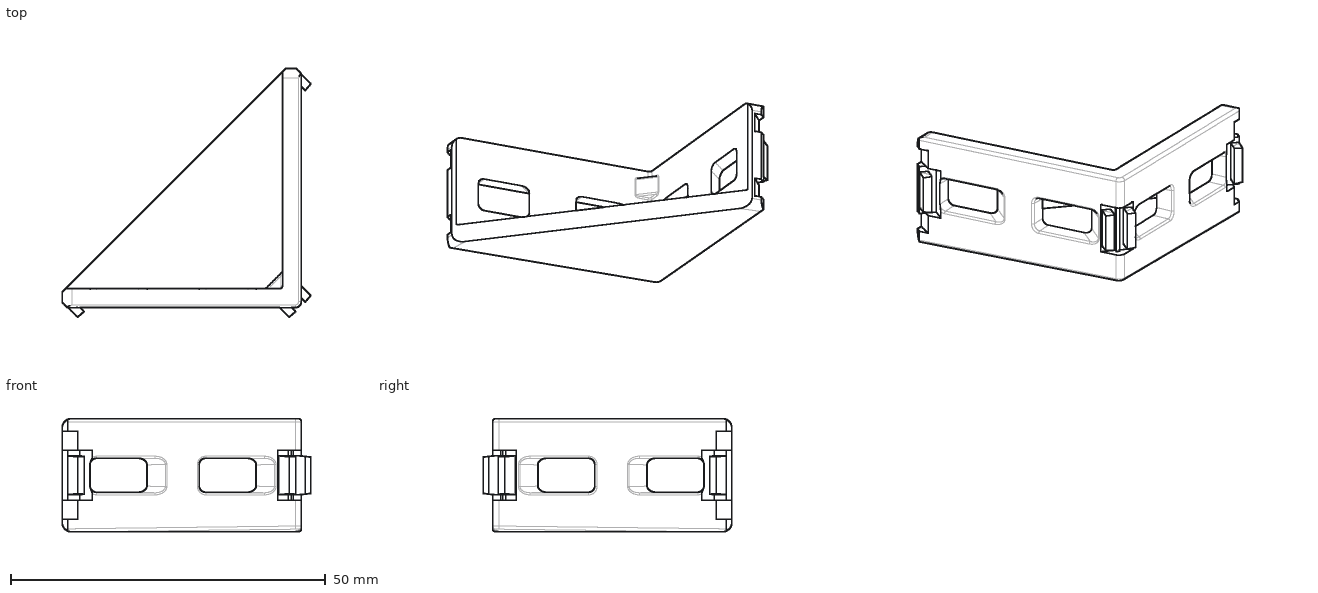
import cadquery as cq
import math


leg_length = 38.0
height = 18.0
wall = 3.0
floor_thickness = 3.0
end_land = 2.5
draft_angle = 1.0
corner_radius = 1.0
edge_radius = 0.5
end_radius = 1.5
end_chamfer = 0.87
inner_corner_radius = 0.5
floor_fillet = 0.25

slot_length = 9.0
slot_height = 5.3
slot_starts = (4.45, 21.78)
slot_corner_radius = 1.0
slot_edge_fillet = 0.33

recess_height = 8.0
end_recess_length = 4.8
corner_recess_length = 3.8
tab_reach = 1.5
tab_span = 1.95
tip_step_reach = 0.6
tab_root_height = 6.15
tab_tip_height = 5.8
end_tab_inset = 0.1
tab_embed = 0.4
corner_tab_gap = 1.5
rib_span = 0.76
rib_setback = 2.92
end_bevel_length = 2.5
end_bevel_depth = 2.05
end_bevel_height = 3.0

gusset_leg = 2.72
gusset_height = 3.03
gusset_bottom = 13.45
gusset_fillet = 0.25

mid_height = height / 2
overlap = 1.0
diagonal = (1, 1, 0)
hypotenuse_offset = leg_length + end_land
draft_slope = math.tan(math.radians(draft_angle))


def mirrored(solid):
    """Copy of a solid on the other leg."""
    return solid.mirror(diagonal)


def prism(points, bottom, top):
    """Vertical prism over a plan outline."""
    return cq.Workplane("XY").workplane(offset=bottom).polyline(points).close().extrude(top - bottom)


def drafted_slab(base_height):
    """Solid below a plane that sits at base_height on the hypotenuse and rises to the corner."""
    run = hypotenuse_offset * math.sqrt(2)
    rise = run * draft_slope
    hypotenuse_mid = (-hypotenuse_offset / 2, hypotenuse_offset / 2, base_height)
    section_plane = cq.Plane(origin=hypotenuse_mid, xDir=(1, -1, 0), normal=(-1, -1, 0))
    section = [(-run, -height), (-run, -rise), (run, rise), (run, -height)]
    return cq.Workplane(section_plane).polyline(section).close().extrude(2 * leg_length, both=True)


def side_band(stations):
    """Bar along X, symmetric about mid height; stations are (y, half height) pairs."""
    lower = [(y, mid_height - half) for y, half in stations]
    upper = [(y, mid_height + half) for y, half in reversed(stations)]
    return cq.Workplane("YZ").polyline(lower + upper).close().extrude(2 * leg_length, both=True)


def nearest(x, y, z):
    """Selector for the item nearest a point."""
    return cq.selectors.NearestToPointSelector((x, y, z))


def outer_block():
    """Triangular block with tilted underside, rounded outer edges and rounded leg ends."""
    long_leg = 2 * leg_length
    block = prism([(-long_leg, 0), (0, 0), (0, long_leg)], -height, height).cut(drafted_slab(0))
    block = block.edges(nearest(0, 0, mid_height)).fillet(corner_radius)
    block = block.edges(nearest(-leg_length, 0, height)).fillet(edge_radius)
    block = block.edges(nearest(-leg_length, 0, 0)).fillet(edge_radius)
    envelope = (
        cq.Workplane("XY")
        .box(leg_length + overlap, 3 * leg_length, height, centered=(False, True, False))
        .translate((-leg_length, 0, 0))
        .edges("<X and |Y")
        .fillet(end_radius)
    )
    block = block.intersect(envelope).intersect(mirrored(envelope))
    hypotenuse_cut = prism(
        [
            (-2 * hypotenuse_offset, -hypotenuse_offset),
            (hypotenuse_offset, 2 * hypotenuse_offset),
            (-2 * hypotenuse_offset, 2 * hypotenuse_offset),
        ],
        -overlap,
        height + overlap,
    )
    return block.cut(hypotenuse_cut)


def cavity():
    """Space between the legs above the floor, leaving the gusset in the inner corner."""
    far = 2 * leg_length
    space = prism([(-far, wall), (-wall, wall), (-wall, far)], 0, height + overlap)
    space = space.cut(drafted_slab(floor_thickness))
    space = space.edges(nearest(-wall, wall, mid_height)).fillet(inner_corner_radius)
    space = space.edges(nearest(-leg_length, wall, floor_thickness)).fillet(floor_fillet)
    gusset = prism(
        [
            (0, 0),
            (-wall - gusset_leg - wall, 0),
            (0, wall + gusset_leg + wall),
        ],
        gusset_bottom,
        gusset_bottom + gusset_height,
    )
    gusset = gusset.faces("<(1, -1, 0)").edges("#Z").fillet(gusset_fillet)
    space = space.cut(gusset)
    rim = cq.selectors.BoxSelector(
        (-wall - gusset_leg - overlap, wall - overlap, gusset_bottom - overlap),
        (-wall + overlap, wall + gusset_leg + overlap, gusset_bottom + gusset_height + overlap),
    )
    return space.edges(rim).edges("|X or |Y or |Z or %CIRCLE").fillet(gusset_fillet)


def slot(start):
    """Slot cutter for the X leg; its corner-side end leans outwards at 45 degrees."""
    left = start - leg_length
    right = left + slot_length
    outline = [
        (left, -overlap),
        (right + wall + overlap, -overlap),
        (right - overlap, wall + overlap),
        (left, wall + overlap),
    ]
    half_height = slot_height / 2
    depth = wall + 2 * overlap
    growth = depth * math.sqrt(2) * draft_slope
    side_stations = [(wall + overlap, half_height), (-overlap, half_height + growth)]
    cutter = prism(outline, 0, height).intersect(side_band(side_stations))
    return cutter.faces("<X or >X").edges("<Z or >Z").fillet(slot_corner_radius)


def cut_slots(body):
    """Cut the slots in both legs and round their mouths on the outer faces."""
    for start in slot_starts:
        body = body.cut(slot(start)).cut(mirrored(slot(start)))
    outer_faces = body.faces("<Y or >X").vals()
    mouth_wires = [wire for face in outer_faces for wire in face.innerWires()]
    mouth_edges = [edge for wire in mouth_wires for edge in wire.Edges()]
    return body.newObject(mouth_edges).fillet(slot_edge_fillet)


def recess_prism(points):
    """Prism of recess height, centred on the height of the leg."""
    return prism(points, mid_height - recess_height / 2, mid_height + recess_height / 2)


def end_recess():
    """Right-angled notch across the outer face near the end of the X leg."""
    start = end_chamfer - leg_length
    end = end_recess_length - leg_length
    half_span = (end - start) / 2
    return recess_prism(
        [
            (start - overlap, -overlap),
            (start + half_span, half_span),
            (end + overlap, -overlap),
        ]
    )


def end_bevels():
    """Shallow bevels on the end of the X leg, above and below the recess."""
    bevel = [
        (-leg_length, end_bevel_depth),
        (-leg_length, 0),
        (end_bevel_length - leg_length, 0),
    ]
    recess_top = mid_height + recess_height / 2
    recess_bottom = mid_height - recess_height / 2
    upper = prism(bevel, recess_top, recess_top + end_bevel_height)
    lower = prism(bevel, recess_bottom - end_bevel_height, recess_bottom)
    return upper.union(lower)


def end_chamfer_cut():
    """Chamfer on the outer vertical edge at the end of the X leg."""
    size = end_chamfer + overlap
    outline = [
        (-leg_length - overlap, -overlap),
        (-leg_length + size, -overlap),
        (-leg_length - overlap, size),
    ]
    return prism(outline, -overlap, height + overlap)


def corner_recess():
    """45 degree cut across the outer corner, leaving a narrow rib in its middle."""
    half_rib = rib_span / 2

    def on_diagonal_line(setback, along):
        """Point on the line y = x + setback with x + y = along."""
        return ((along - setback) / 2, (along + setback) / 2)

    reach = corner_recess_length + 2 * overlap
    return recess_prism(
        [
            on_diagonal_line(corner_recess_length, -reach),
            on_diagonal_line(corner_recess_length, -half_rib),
            on_diagonal_line(rib_setback, -half_rib),
            on_diagonal_line(rib_setback, half_rib),
            on_diagonal_line(corner_recess_length, half_rib),
            on_diagonal_line(corner_recess_length, reach),
            (overlap, -overlap),
        ]
    )


def tab(start):
    """Tab on the X leg; start is where its far flank crosses the outer face."""
    near = start + tab_span
    outline = [
        (start - tab_embed, tab_embed),
        (start + tab_reach, -tab_reach),
        (near + tip_step_reach, -tip_step_reach),
        (start + tab_span / 2 - tab_embed, tab_span / 2 + tab_embed),
    ]
    blank = prism(outline, 0, height)
    half_root = tab_root_height / 2
    side_stations = [(wall, half_root), (0, half_root), (-tab_reach, tab_tip_height / 2)]
    return blank.intersect(side_band(side_stations))


def bracket():
    """Slotted legs and floor, then the recesses, then the tabs that stand in them."""
    body = cut_slots(outer_block().cut(cavity()))
    body = body.cut(corner_recess())
    for cutter in (end_chamfer_cut(), end_bevels(), end_recess()):
        body = body.cut(cutter).cut(mirrored(cutter))
    end_tab = tab(end_chamfer + end_tab_inset - leg_length)
    corner_tab = tab(-corner_tab_gap - tab_span)
    for lug in (end_tab, corner_tab):
        body = body.union(lug).union(mirrored(lug))
    return body


result = bracket()